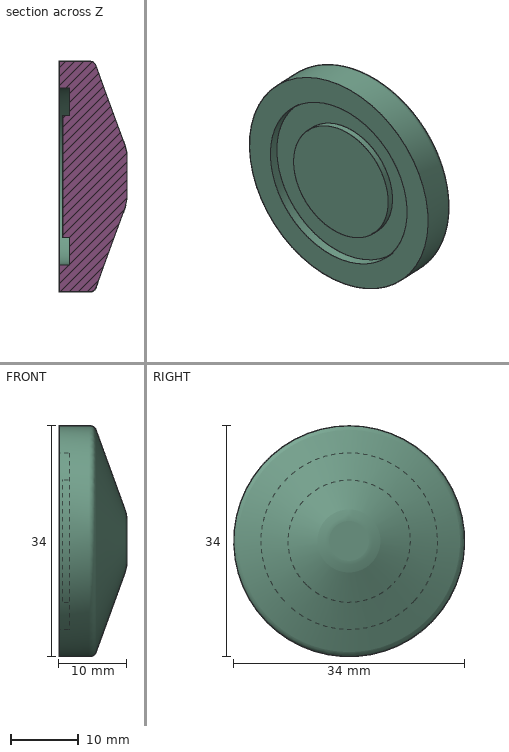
import cadquery as cq
import math

outer_radius = 17.0
total_length = 10.0
rim_corner = 5.2
cone_angle = 20.0
rim_fillet = 1.0
nose_fillet = 5.0

pocket_radius = 13.0
pocket_depth = 1.5
island_radius = 9.0
island_recess = 0.5

nose_radius = outer_radius - (total_length - rim_corner) / math.tan(math.radians(cone_angle))


def turned_body():
    """Disc with a conical front, its rim and nose edges rounded."""
    profile = (
        cq.Workplane("XZ")
        .moveTo(0, 0)
        .lineTo(0, outer_radius)
        .lineTo(rim_corner, outer_radius)
        .lineTo(total_length, nose_radius)
        .lineTo(total_length, 0)
        .close()
    )
    body = profile.revolve(360, (0, 0, 0), (1, 0, 0))
    body = body.faces(">X").edges().fillet(nose_fillet)
    around_rim_corner = cq.selectors.BoxSelector(
        (rim_corner - rim_fillet, -outer_radius, -outer_radius),
        (rim_corner + rim_fillet, outer_radius, outer_radius),
    )
    return body.edges("%CIRCLE").edges(around_rim_corner).fillet(rim_fillet)


def back_recess():
    """Round pocket in the back face, less the lower island standing at its centre."""
    pocket = cq.Workplane("YZ").circle(pocket_radius).extrude(pocket_depth)
    island = (
        cq.Workplane("YZ", origin=(island_recess, 0, 0))
        .circle(island_radius)
        .extrude(pocket_depth - island_recess)
    )
    return pocket.cut(island)


result = turned_body().cut(back_recess())